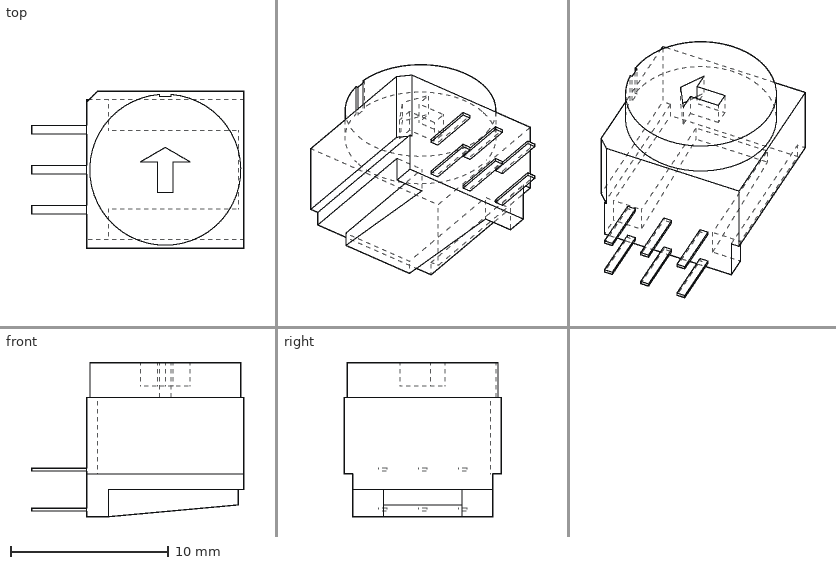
import cadquery as cq

BODY_SIDE = 10.0
TOTAL_HEIGHT = 9.8
DIAL_HEIGHT = 2.2
BODY_TOP = TOTAL_HEIGHT - DIAL_HEIGHT
CAP_BOTTOM = 3.73
CORNER_CHAMFER = 0.7

STEP_HEIGHT = 1.0
DECK_BOTTOM = CAP_BOTTOM - STEP_HEIGHT
PLATE_BOTTOM = DECK_BOTTOM - STEP_HEIGHT
BASE_WIDTH = 8.9
FOOT_LENGTH = 1.4

RIB_WIDTH = 5.0
RIB_END_SETBACK = 0.35
RIB_END_BOTTOM = 0.75

DIAL_DIAMETER = 9.6
ROTOR_DIAMETER = 4.1
NOTCH_WIDTH = 0.75
NOTCH_DEPTH = 0.15

ARROW_TIP_Y = 1.42
ARROW_SHOULDER_Y = 0.5
ARROW_TAIL_Y = -1.45
ARROW_HEAD_WIDTH = 3.15
ARROW_SHAFT_WIDTH = 1.0
ARROW_DEPTH = 1.5

PIN_PITCH = 2.54
PINS_PER_ROW = 3
PIN_ROWS = 2
PIN_LENGTH = 3.5
PIN_WIDTH = 0.55
PIN_THICKNESS = 0.2
LOWER_PIN_Z = 0.46

HALF_SIDE = BODY_SIDE / 2


def chamfered_block(bottom, top):
    """Square block with the vertical -X +Y edge chamfered."""
    return (
        cq.Workplane("XY", origin=(0, 0, bottom))
        .rect(BODY_SIDE, BODY_SIDE)
        .extrude(top - bottom)
        .edges("|Z and <X and >Y")
        .chamfer(CORNER_CHAMFER)
    )


def make_base():
    """Full-width deck over a narrower plate that has a foot along its -X end."""
    profile = [
        (-HALF_SIDE, 0),
        (-HALF_SIDE + FOOT_LENGTH, 0),
        (-HALF_SIDE + FOOT_LENGTH, PLATE_BOTTOM),
        (HALF_SIDE, PLATE_BOTTOM),
        (HALF_SIDE, DECK_BOTTOM),
        (-HALF_SIDE, DECK_BOTTOM),
    ]
    plate = cq.Workplane("XZ").polyline(profile).close().extrude(BASE_WIDTH / 2, both=True)
    return chamfered_block(DECK_BOTTOM, CAP_BOTTOM).union(plate)


def make_rib():
    """Central rib whose underside rises from the foot towards +X."""
    start_x = -HALF_SIDE + FOOT_LENGTH
    end_x = HALF_SIDE - RIB_END_SETBACK
    profile = [
        (start_x, 0),
        (end_x, RIB_END_BOTTOM),
        (end_x, PLATE_BOTTOM),
        (start_x, PLATE_BOTTOM),
    ]
    return cq.Workplane("XZ").polyline(profile).close().extrude(RIB_WIDTH / 2, both=True)


def make_dial():
    """Ring of the dial with an index notch in its rim at +Y."""
    ring = (
        cq.Workplane("XY", origin=(0, 0, BODY_TOP))
        .circle(DIAL_DIAMETER / 2)
        .circle(ROTOR_DIAMETER / 2)
        .extrude(DIAL_HEIGHT)
    )
    notch = (
        cq.Workplane("XY", origin=(0, DIAL_DIAMETER / 2, TOTAL_HEIGHT))
        .rect(NOTCH_WIDTH, 2 * NOTCH_DEPTH)
        .extrude(-DIAL_HEIGHT)
    )
    return ring.cut(notch)


def make_rotor():
    """Round rotor, flush with the dial, with an arrow slot pointing to +Y."""
    half_head = ARROW_HEAD_WIDTH / 2
    half_shaft = ARROW_SHAFT_WIDTH / 2
    outline = [
        (0, ARROW_TIP_Y),
        (half_head, ARROW_SHOULDER_Y),
        (half_shaft, ARROW_SHOULDER_Y),
        (half_shaft, ARROW_TAIL_Y),
        (-half_shaft, ARROW_TAIL_Y),
        (-half_shaft, ARROW_SHOULDER_Y),
        (-half_head, ARROW_SHOULDER_Y),
    ]
    arrow = (
        cq.Workplane("XY", origin=(0, 0, TOTAL_HEIGHT))
        .polyline(outline)
        .close()
        .extrude(-ARROW_DEPTH)
    )
    rotor = (
        cq.Workplane("XY", origin=(0, 0, BODY_TOP))
        .circle(ROTOR_DIAMETER / 2)
        .extrude(DIAL_HEIGHT)
    )
    return rotor.cut(arrow)


def make_pins():
    """Flat pins standing out of the -X face on a square pitch."""
    row_half_span = (PINS_PER_ROW - 1) * PIN_PITCH / 2
    positions = []
    for row in range(PIN_ROWS):
        for column in range(PINS_PER_ROW):
            y = column * PIN_PITCH - row_half_span
            z = LOWER_PIN_Z + row * PIN_PITCH
            positions.append((y, z))
    return (
        cq.Workplane("YZ", origin=(-HALF_SIDE, 0, 0))
        .pushPoints(positions)
        .rect(PIN_WIDTH, PIN_THICKNESS)
        .extrude(-PIN_LENGTH)
    )


result = chamfered_block(CAP_BOTTOM, BODY_TOP)
for piece in (
    make_base(),
    make_rib(),
    make_dial(),
    make_rotor(),
    make_pins(),
):
    result = result.union(piece, clean=False)